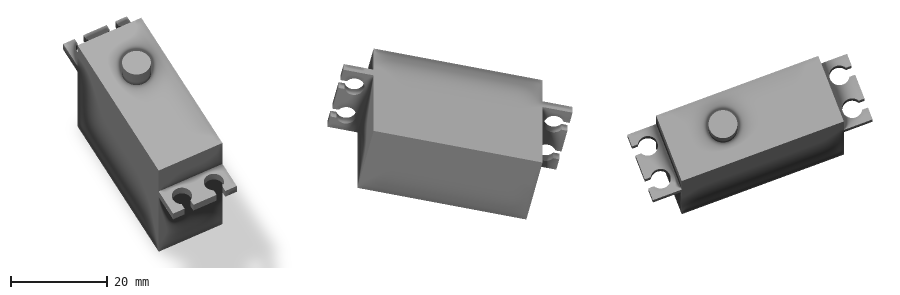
import cadquery as cq

overall_length = 48.8
body_length = 36.0
body_width = 15.0
body_height = 29.3

shaft_diameter = 6.0
shaft_height = 3.8
shaft_from_end = 12.0
shaft_x = shaft_from_end - body_length / 2

flange_bottom = 19.7
flange_thickness = 2.05

hole_diameter = 4.2
hole_spacing = 7.5
hole_from_edge = 3.1
slot_width = 2.05


def make_body():
    return cq.Workplane("XY").box(body_length, body_width, body_height, centered=(True, True, False))


def make_shaft():
    return (
        cq.Workplane("XY", origin=(shaft_x, 0, body_height))
        .circle(shaft_diameter / 2)
        .extrude(shaft_height)
    )


def make_flange():
    base = cq.Workplane("XY", origin=(0, 0, flange_bottom))
    flange = base.rect(overall_length, body_width).extrude(flange_thickness)
    for end in (-1, 1):
        hole_x = end * (overall_length / 2 - hole_from_edge)
        slot_x = end * (overall_length / 2 - hole_from_edge / 2)
        for side in (-1, 1):
            hole_y = side * hole_spacing / 2
            hole = base.center(hole_x, hole_y).circle(hole_diameter / 2).extrude(flange_thickness)
            slot = base.center(slot_x, hole_y).rect(hole_from_edge, slot_width).extrude(flange_thickness)
            flange = flange.cut(hole).cut(slot)
    return flange


result = make_body().union(make_flange()).union(make_shaft())